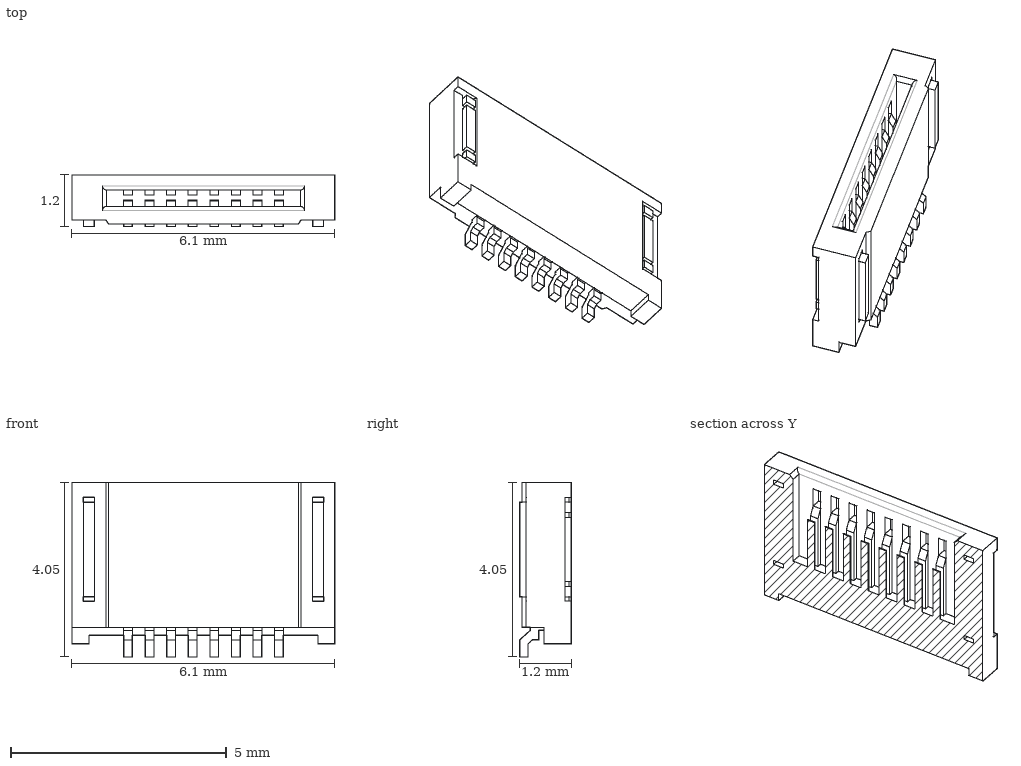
import cadquery as cq


WIDTH = 6.1
TOTAL_DEPTH = 1.2
TOTAL_HEIGHT = 4.05

BODY_DEPTH = 1.05
PANEL_DEPTH = 1.145
PANEL_WIDTH = 4.525
PANEL_BEVEL = 0.06
BASE_DEPTH = 0.64
BODY_BOTTOM = TOTAL_HEIGHT - 3.36
FOOT_BOTTOM = TOTAL_HEIGHT - 3.745
FOOT_HEIGHT = 0.195
FOOT_WIDTH = 0.395

SOCKET_WIDTH = 4.49
SOCKET_BACK = 0.355
SOCKET_FRONT = 0.73
SOCKET_LENGTH = 2.44
MOUTH_EASE = 0.1
SOCKET_FLOOR = TOTAL_HEIGHT - SOCKET_LENGTH

LEAD_COUNT = 8
LEAD_PITCH = 0.5
LEAD_WIDTH = 0.21
LEAD_THICKNESS = 0.2
CONTACT_SLOT_DEPTH = 0.23
CONTACT_SLOT_TOP = TOTAL_HEIGHT - 0.365
CONTACT_TOP = TOTAL_HEIGHT - 0.855
BACK_CONTACT_REACH = 0.11
FRONT_CONTACT_REACH = 0.12
FRONT_CONTACT_TIP = 0.025
CONTACT_STEEPNESS = 2.0
LEAD_DROP_BACK = 0.755
LEAD_ARM_HEIGHT = 0.075
LEAD_JOG_HEIGHT = 0.22
LEAD_TAIL_CHAMFER = 0.09
lead_centres = [(i - (LEAD_COUNT - 1) / 2) * LEAD_PITCH for i in range(LEAD_COUNT)]

TAB_WIDTH = 0.255
TAB_INSET = 0.26
TAB_BOTTOM = TOTAL_HEIGHT - 2.655
TAB_TOP = TOTAL_HEIGHT - 0.46
SLOT_BOTTOM = TOTAL_HEIGHT - 2.75
SLOT_TOP = TOTAL_HEIGHT - 0.35
NOTCH_DEPTH = 0.145
SLOT_CHAMFER = 0.055
TAB_GROOVE = 0.11
TAB_END_LENGTH = 0.245
TAB_X = WIDTH / 2 - TAB_INSET - TAB_WIDTH / 2


def block(x_range, depth_range, z_range):
    """Box between two X values, two depths from the back face and two heights."""
    x0, x1 = x_range
    d0, d1 = depth_range
    z0, z1 = z_range
    return cq.Workplane("XY").box(x1 - x0, d1 - d0, z1 - z0, centered=False).translate((x0, -d1, z0))


def side_profile(points, x_centre, width):
    """Extrude a (depth, height) outline along X, centred on x_centre."""
    outline = [(-depth, height) for depth, height in points]
    solid = cq.Workplane("YZ").polyline(outline).close().extrude(width)
    return solid.translate((x_centre - width / 2, 0, 0))


def make_housing():
    """Body with its bevelled front panel and the stepped base with a foot at each end."""
    half = WIDTH / 2
    half_panel = PANEL_WIDTH / 2
    body = block((-half, half), (0, BODY_DEPTH), (BODY_BOTTOM, TOTAL_HEIGHT))
    panel = (
        cq.Workplane("XY", origin=(0, 0, BODY_BOTTOM))
        .polyline([
            (-half_panel, -BODY_DEPTH),
            (-half_panel + PANEL_BEVEL, -PANEL_DEPTH),
            (half_panel - PANEL_BEVEL, -PANEL_DEPTH),
            (half_panel, -BODY_DEPTH),
        ])
        .close()
        .extrude(TOTAL_HEIGHT - BODY_BOTTOM)
    )
    base = block((-half, half), (0, BASE_DEPTH), (FOOT_BOTTOM, BODY_BOTTOM))
    inner = half - FOOT_WIDTH
    gap = block((-inner, inner), (0, BASE_DEPTH), (FOOT_BOTTOM, FOOT_BOTTOM + FOOT_HEIGHT))
    return body.union(panel).union(base.cut(gap))


def make_socket():
    """Socket cavity: rounded long edges and chamfered ends at the mouth."""
    half = SOCKET_WIDTH / 2
    ease_bottom = TOTAL_HEIGHT - MOUTH_EASE
    long_edges = (
        cq.Workplane("YZ", origin=(-half - MOUTH_EASE, 0, 0))
        .moveTo(-SOCKET_FRONT, SOCKET_FLOOR)
        .lineTo(-SOCKET_FRONT, ease_bottom)
        .radiusArc((-SOCKET_FRONT - MOUTH_EASE, TOTAL_HEIGHT), -MOUTH_EASE)
        .lineTo(-SOCKET_BACK + MOUTH_EASE, TOTAL_HEIGHT)
        .radiusArc((-SOCKET_BACK, ease_bottom), -MOUTH_EASE)
        .lineTo(-SOCKET_BACK, SOCKET_FLOOR)
        .close()
        .extrude(SOCKET_WIDTH + 2 * MOUTH_EASE)
    )
    ends = (
        cq.Workplane("XZ")
        .polyline([
            (-half, SOCKET_FLOOR),
            (-half, ease_bottom),
            (-half - MOUTH_EASE, TOTAL_HEIGHT),
            (half + MOUTH_EASE, TOTAL_HEIGHT),
            (half, ease_bottom),
            (half, SOCKET_FLOOR),
        ])
        .close()
        .extrude(TOTAL_DEPTH)
    )
    return long_edges.intersect(ends)


def make_contact_slot(x_centre):
    """Recess in the rear socket wall that houses one contact."""
    x_range = (x_centre - LEAD_WIDTH / 2, x_centre + LEAD_WIDTH / 2)
    depth_range = (SOCKET_BACK - CONTACT_SLOT_DEPTH, SOCKET_BACK)
    return block(x_range, depth_range, (SOCKET_FLOOR, CONTACT_SLOT_TOP))


def make_back_contact(x_centre):
    """Beam standing in the recess, with a sloped nose reaching into the socket."""
    slot_back = SOCKET_BACK - CONTACT_SLOT_DEPTH
    nose = SOCKET_BACK + BACK_CONTACT_REACH
    points = [
        (slot_back, SOCKET_FLOOR),
        (slot_back, CONTACT_TOP),
        (SOCKET_BACK, CONTACT_TOP),
        (nose, CONTACT_TOP - CONTACT_STEEPNESS * BACK_CONTACT_REACH),
        (nose, SOCKET_FLOOR),
    ]
    return side_profile(points, x_centre, LEAD_WIDTH)


def make_front_contact(x_centre):
    """Beam on the front socket wall, sloped down to a narrow flat tip."""
    tip = SOCKET_FRONT - FRONT_CONTACT_REACH
    tip_height = CONTACT_TOP - CONTACT_STEEPNESS * FRONT_CONTACT_REACH
    points = [
        (SOCKET_FRONT, SOCKET_FLOOR),
        (SOCKET_FRONT, CONTACT_TOP),
        (tip, tip_height),
        (tip - FRONT_CONTACT_TIP, tip_height),
        (tip - FRONT_CONTACT_TIP, SOCKET_FLOOR),
    ]
    return side_profile(points, x_centre, LEAD_WIDTH)


def make_lead(x_centre):
    """Solder lead: leaves the base, drops, and jogs forward to the front of the part."""
    drop_front = LEAD_DROP_BACK + LEAD_THICKNESS
    tail_back = TOTAL_DEPTH - LEAD_THICKNESS
    arm_bottom = BODY_BOTTOM - LEAD_ARM_HEIGHT
    jog_bottom = arm_bottom - LEAD_JOG_HEIGHT
    points = [
        (BASE_DEPTH, BODY_BOTTOM),
        (drop_front, BODY_BOTTOM),
        (drop_front, arm_bottom),
        (TOTAL_DEPTH, jog_bottom),
        (TOTAL_DEPTH, 0),
        (tail_back, 0),
        (tail_back, jog_bottom - LEAD_TAIL_CHAMFER),
        (tail_back - LEAD_TAIL_CHAMFER, jog_bottom),
        (LEAD_DROP_BACK, jog_bottom),
        (LEAD_DROP_BACK, arm_bottom),
        (BASE_DEPTH, arm_bottom),
    ]
    return side_profile(points, x_centre, LEAD_WIDTH)


def make_tab_slot():
    """Through slot for the right tab, with the rear notch open to the side of the housing."""
    half_tab = TAB_WIDTH / 2
    inner = TAB_X - half_tab
    z_range = (SLOT_BOTTOM, SLOT_TOP)
    slot = block((inner, TAB_X + half_tab), (0, BODY_DEPTH), z_range)
    notch = block((TAB_X + half_tab, WIDTH / 2), (0, NOTCH_DEPTH), z_range)
    chamfer = (
        cq.Workplane("XY", origin=(0, 0, SLOT_BOTTOM))
        .polyline([(inner, 0), (inner - SLOT_CHAMFER, 0), (inner, -SLOT_CHAMFER)])
        .close()
        .extrude(SLOT_TOP - SLOT_BOTTOM)
    )
    return slot.union(notch).union(chamfer)


def make_tab():
    """Right hold-down tab, with two grooves across its rear face."""
    x_range = (TAB_X - TAB_WIDTH / 2, TAB_X + TAB_WIDTH / 2)
    tab = block(x_range, (0, TOTAL_DEPTH), (TAB_BOTTOM, TAB_TOP))
    for groove_bottom in (TAB_BOTTOM + TAB_END_LENGTH, TAB_TOP - TAB_END_LENGTH - TAB_GROOVE):
        z_range = (groove_bottom, groove_bottom + TAB_GROOVE)
        tab = tab.cut(block(x_range, (0, NOTCH_DEPTH), z_range))
    return tab


part = make_housing().cut(make_socket())

for x in lead_centres:
    part = part.cut(make_contact_slot(x))
    part = part.union(make_back_contact(x))
    part = part.union(make_front_contact(x))
    part = part.union(make_lead(x))

tab_slot = make_tab_slot()
part = part.cut(tab_slot).cut(tab_slot.mirror("YZ"))
tab = make_tab()
part = part.union(tab).union(tab.mirror("YZ"))

result = part